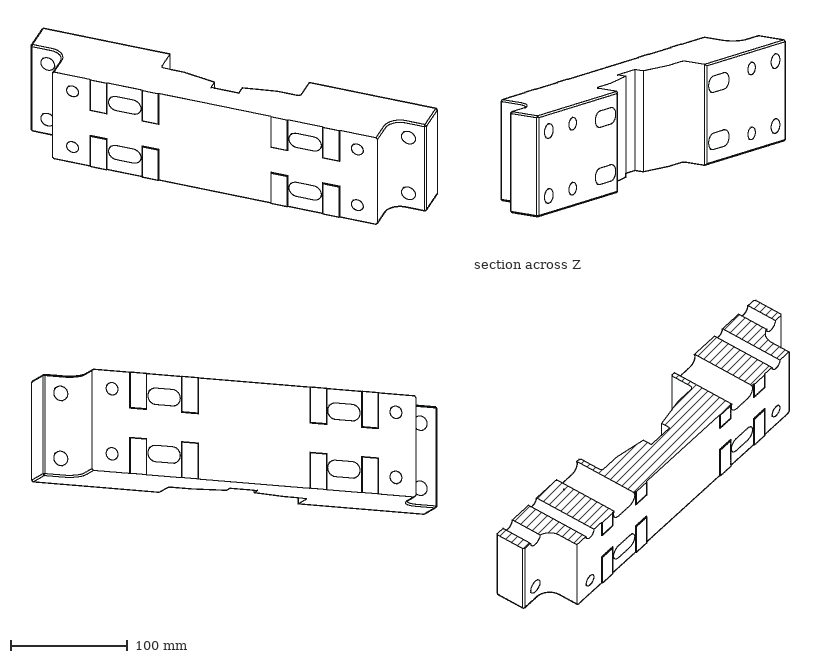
import cadquery as cq

LENGTH = 362.0
DEPTH = 63.5
HEIGHT = 89.0
EDGE_CHAMFER = 1.5

PAD_RAISE = 0.7
PAD_WIDTH = 15.5
PAD_CHAMFER = 0.55
PAD_ROOT = 3.5
PAD_SPACINGS = (118.0, 213.0)
PAD_GAP = 25.7

BODY_LENGTH = 297.5
WING_THICKNESS = 30.0
WING_FILLET = 13.5

RECESS_LENGTH = 127.5
RECESS_DEPTH = 24.0
RECESS_FILLET = 3.0
SLOPE_LENGTH = 85.5
SLOPE_DEPTH = 29.3
GROOVE_LENGTH = 25.5
GROOVE_DEPTH = 38.0

HOLE_SPACING_Z = 57.2
WING_HOLE_DIAMETER = 12.5
WING_HOLE_SPACING = 330.0
BODY_HOLE_DIAMETER = 11.0
BODY_HOLE_SPACING = 260.5
SLOT_LENGTH = 29.5
SLOT_WIDTH = 14.5
SLOT_SPACING_X = 165.0
SLOT_SPACING_Z = 50.3

BACK_Y = DEPTH / 2
PAD_FACE_Y = -DEPTH / 2
FRONT_Y = PAD_FACE_Y + PAD_RAISE
WING_FRONT_Y = BACK_Y - WING_THICKNESS
RECESS_FLOOR_Y = BACK_Y - RECESS_DEPTH
SELECTION_MARGIN = 0.5


def make_profile():
    """Outline of the block in the XY plane, including the stepped recess."""
    right_half = [
        (BODY_LENGTH / 2, FRONT_Y),
        (BODY_LENGTH / 2, WING_FRONT_Y),
        (LENGTH / 2, WING_FRONT_Y),
        (LENGTH / 2, BACK_Y),
        (RECESS_LENGTH / 2, BACK_Y),
        (RECESS_LENGTH / 2, RECESS_FLOOR_Y),
        (SLOPE_LENGTH / 2, RECESS_FLOOR_Y),
        (GROOVE_LENGTH / 2, BACK_Y - SLOPE_DEPTH),
        (GROOVE_LENGTH / 2, BACK_Y - GROOVE_DEPTH),
    ]
    left_half = [(-x, y) for x, y in reversed(right_half)]
    base = cq.Workplane("XY", origin=(0, 0, -HEIGHT / 2))
    return base.polyline(right_half + left_half).close()


def fillet_upright_edges(solid, x, y, radius):
    """Round the two edges parallel to Z that stand at -x and +x."""
    for side in (-1, 1):
        corner = cq.NearestToPointSelector((side * x, y, 0))
        solid = solid.edges(corner).fillet(radius)
    return solid


def chamfer_outer_edges(solid):
    """Bevel the rims of the back and end faces and the contour of the wings."""
    edges = solid.faces(">Y or <X or >X").edges()
    inner_x = BODY_LENGTH / 2 - SELECTION_MARGIN
    for side in (-1, 1):
        wing_zone = cq.selectors.BoxSelector(
            (side * inner_x, -DEPTH, -HEIGHT),
            (side * LENGTH, DEPTH, HEIGHT),
        )
        edges = edges.add(solid.faces("|Z").edges(wing_zone))
    return edges.chamfer(EDGE_CHAMFER)


def make_pad(centre_x, z_side):
    """Pad that reaches the top (z_side=1) or bottom (z_side=-1) of the block."""
    pad_height = (HEIGHT - PAD_GAP) / 2
    centre_z = z_side * (PAD_GAP + pad_height) / 2
    pad = cq.Workplane("XY").box(PAD_WIDTH, PAD_RAISE + PAD_ROOT, pad_height)
    inner_edge = "<Z" if z_side > 0 else ">Z"
    pad = pad.faces("<Y").edges(f"|Z or {inner_edge}").chamfer(PAD_CHAMFER)
    return pad.translate((centre_x, PAD_FACE_Y + (PAD_RAISE + PAD_ROOT) / 2, centre_z))


def four_places(spacing_x, spacing_z):
    """Points at the corners of a rectangle on the front of the part."""
    front = cq.Workplane("XZ", origin=(0, PAD_FACE_Y, 0))
    return front.rect(spacing_x, spacing_z, forConstruction=True).vertices()


def make_holes(diameter, spacing_x):
    """Four round cutters through the whole depth."""
    return four_places(spacing_x, HOLE_SPACING_Z).circle(diameter / 2).extrude(-DEPTH)


def make_slots():
    """Four horizontal slot cutters through the whole depth."""
    places = four_places(SLOT_SPACING_X, SLOT_SPACING_Z)
    return places.slot2D(SLOT_LENGTH, SLOT_WIDTH).extrude(-DEPTH)


block = make_profile().extrude(HEIGHT)
block = fillet_upright_edges(block, BODY_LENGTH / 2, WING_FRONT_Y, WING_FILLET)
block = fillet_upright_edges(block, RECESS_LENGTH / 2, RECESS_FLOOR_Y, RECESS_FILLET)
block = chamfer_outer_edges(block)

for spacing in PAD_SPACINGS:
    for x_side in (-1, 1):
        for z_side in (-1, 1):
            block = block.union(make_pad(x_side * spacing / 2, z_side))

block = block.cut(make_holes(WING_HOLE_DIAMETER, WING_HOLE_SPACING))
block = block.cut(make_holes(BODY_HOLE_DIAMETER, BODY_HOLE_SPACING))
block = block.cut(make_slots())

result = block